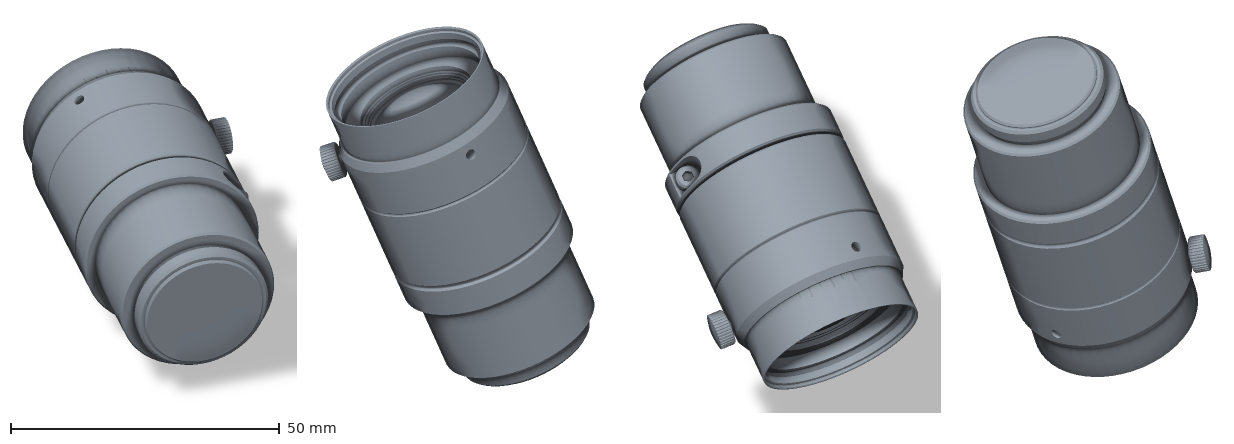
import cadquery as cq
import math


total_length = 63.2
ring_front_x = 8.1
ring_taper_end_x = 9.7
ring_groove_x = 19.55
iris_ring_end_x = 36.2
hub_step_x = 36.45
clamp_ring_x = 36.8
clamp_ring_end_x = 42.9
rear_barrel_end_x = 58.95
mount_thread_x = 59.75
mount_thread_end_x = 62.6

front_tube_r = 15.75
ring_r = 34.0 / 2
ring_front_r = 16.2
hub_small_r = 11.3
hub_large_r = 12.2
rear_barrel_r = 30.0 / 2
mount_relief_r = 12.35
mount_thread_r = 25.4 / 2
mount_lip_r = 23.1 / 2
edge_chamfer = 0.35
mount_chamfer = 0.5

rim_chamfer = 0.15
filter_thread_x = 0.7
filter_thread_end_x = 2.2
baffle_x = 3.3
cell_face_x = 5.7
retainer_x = 6.8
retainer_face_x = 7.1
lens_mouth_x = 7.65
lens_seat_x = 8.1
lens_edge_x = 8.3

filter_recess_r = 30.7 / 2
filter_thread_r = 14.9
baffle_r = 14.0
cell_bore_r = 22.2 / 2
retainer_r = 21.3 / 2
retainer_bore_r = 20.5 / 2
lens_mouth_r = 20.0 / 2
lens_r = 18.5 / 2
lens_sag = 3.2

lock_x = 12.15
lock_d = 2.05
lock_hole_depth = 1.7
lock_spacing_deg = 120.0
knob_r = 3.45
knob_bottom_y = 17.5
knob_shoulder_y = 20.4
knob_top_y = 20.94
knob_chamfer = 0.25
knurl_count = 36
knurl_d = 0.35

index_length = 0.95
index_width = 3.0
index_x = 17.3
mark_depth = 0.1
tick_count = 6
tick_pitch_deg = 8.0
tick_middle_deg = -1.15
tick_width = 0.35
tick_short = 1.0
tick_long = 2.0

clamp_x = (clamp_ring_x + clamp_ring_end_x) / 2
clamp_y = 13.5
clamp_floor_z = 5.1
clamp_pocket_w = 5.0
clamp_head_d = 4.5
clamp_head_h = 2.5
clamp_head_chamfer = 0.4
hex_across_flats = 2.0
hex_depth = 1.2


def make_body():
    """Revolve the outer outline together with the stepped front cavity and the lens dome."""
    c = edge_chamfer
    m = mount_chamfer
    dome_radius = (lens_r**2 + lens_sag**2) / (2 * lens_sag)
    half_angle = math.asin(lens_r / dome_radius) / 2
    lens_apex_x = lens_edge_x - lens_sag
    dome_mid = (
        lens_apex_x + dome_radius * (1 - math.cos(half_angle)),
        dome_radius * math.sin(half_angle),
    )
    outside = [
        (0, front_tube_r),
        (ring_front_x, front_tube_r),
        (ring_front_x, ring_front_r),
        (ring_taper_end_x, ring_r),
        (ring_groove_x - c, ring_r),
        (ring_groove_x, ring_r - c),
        (ring_groove_x + c, ring_r),
        (iris_ring_end_x - c, ring_r),
        (iris_ring_end_x, ring_r - c),
        (iris_ring_end_x, hub_small_r),
        (hub_step_x, hub_small_r),
        (hub_step_x, hub_large_r),
        (clamp_ring_x, hub_large_r),
        (clamp_ring_x, ring_r - c),
        (clamp_ring_x + c, ring_r),
        (clamp_ring_end_x - c, ring_r),
        (clamp_ring_end_x, ring_r - c),
        (clamp_ring_end_x, rear_barrel_r),
        (rear_barrel_end_x - c, rear_barrel_r),
        (rear_barrel_end_x, rear_barrel_r - c),
        (rear_barrel_end_x, mount_relief_r),
        (mount_thread_x, mount_relief_r),
        (mount_thread_x + mount_thread_r - mount_relief_r, mount_thread_r),
        (mount_thread_end_x - m, mount_thread_r),
        (mount_thread_end_x, mount_thread_r - m),
        (mount_thread_end_x, mount_lip_r),
        (total_length - c, mount_lip_r),
        (total_length, mount_lip_r - c),
        (total_length, 0),
        (lens_apex_x, 0),
    ]
    cavity = [
        (lens_seat_x, lens_r),
        (lens_seat_x, lens_mouth_r),
        (lens_mouth_x, lens_mouth_r),
        (lens_mouth_x, retainer_bore_r),
        (retainer_face_x, retainer_bore_r),
        (retainer_face_x, retainer_r),
        (retainer_x, retainer_r),
        (retainer_x, cell_bore_r),
        (cell_face_x, cell_bore_r),
        (cell_face_x, baffle_r),
        (baffle_x, baffle_r),
        (baffle_x, filter_recess_r),
        (filter_thread_end_x, filter_recess_r),
        (filter_thread_end_x, filter_thread_r),
        (filter_thread_x + rim_chamfer, filter_thread_r),
        (filter_thread_x, filter_recess_r),
        (rim_chamfer, filter_recess_r),
        (0, filter_recess_r + rim_chamfer),
    ]
    profile = cq.Workplane("XY").polyline(outside)
    profile = profile.threePointArc(dome_mid, (lens_edge_x, lens_r))
    for point in cavity:
        profile = profile.lineTo(*point)
    return profile.close().revolve(360, (0, 0, 0), (1, 0, 0))


def make_lock_hole(angle_deg):
    """Radial hole cutter in the front ring, turned about X from +Y."""
    cutter = cq.Workplane("XZ", origin=(lock_x, ring_r, 0))
    cutter = cutter.circle(lock_d / 2).extrude(lock_hole_depth)
    return cutter.rotate((0, 0, 0), (1, 0, 0), angle_deg)


def make_knob():
    """Knurled thumb screw on +Y, with a domed top and its stem sunk into the front ring."""
    c = knob_chamfer
    stem_bottom_y = ring_r - lock_hole_depth
    dome_h = knob_top_y - knob_shoulder_y
    dome_radius = (knob_r**2 + dome_h**2) / (2 * dome_h)
    half_angle = math.asin(knob_r / dome_radius) / 2
    dome_mid = (
        dome_radius * math.sin(half_angle),
        knob_top_y - dome_radius * (1 - math.cos(half_angle)),
    )
    knob = (
        cq.Workplane("XY")
        .moveTo(0, stem_bottom_y)
        .lineTo(lock_d / 2, stem_bottom_y)
        .lineTo(lock_d / 2, knob_bottom_y)
        .lineTo(knob_r - c, knob_bottom_y)
        .lineTo(knob_r, knob_bottom_y + c)
        .lineTo(knob_r, knob_shoulder_y)
        .threePointArc(dome_mid, (0, knob_top_y))
        .close()
        .revolve(360, (0, 0, 0), (0, 1, 0))
    )
    flutes = (
        cq.Workplane("XZ", origin=(0, knob_bottom_y, 0))
        .polarArray(knob_r, 0, 360, knurl_count)
        .circle(knurl_d / 2)
        .extrude(knob_bottom_y - knob_top_y)
    )
    return knob.cut(flutes).translate((lock_x, 0, 0))


def make_ticks():
    """Aperture graduations engraved in the front tube, alternately short and long."""
    ticks = []
    for i in range(tick_count):
        length = tick_short if i % 2 == 0 else tick_long
        toward_plus_y = tick_middle_deg + ((tick_count - 1) / 2 - i) * tick_pitch_deg
        tick = cq.Workplane("XY").box(length, tick_width, 2 * mark_depth)
        tick = tick.translate((ring_front_x - length / 2, 0, front_tube_r))
        ticks.append(tick.rotate((0, 0, 0), (1, 0, 0), -toward_plus_y))
    return ticks


def make_index_mark():
    """Rectangular index mark engraved in the -Y side of the front ring."""
    mark = cq.Workplane("XY").box(index_length, 2 * mark_depth, index_width)
    return mark.translate((index_x + index_length / 2, -ring_r, 0))


def make_clamp_pocket():
    """Round-ended pocket that opens through the +Y side of the rear ring."""
    floor = cq.Workplane("XY", origin=(clamp_x, clamp_y, clamp_floor_z))
    seat = floor.circle(clamp_pocket_w / 2).extrude(ring_r)
    opening = floor.rect(clamp_pocket_w, 2 * ring_r).extrude(ring_r)
    opening = opening.translate((0, ring_r, 0))
    return seat.union(opening)


def make_clamp_screw():
    """Socket head of the clamp screw, standing on the pocket floor."""
    head = cq.Workplane("XY", origin=(clamp_x, clamp_y, clamp_floor_z))
    head = head.circle(clamp_head_d / 2).extrude(clamp_head_h)
    head = head.faces(">Z").chamfer(clamp_head_chamfer)
    hex_across_corners = hex_across_flats / math.cos(math.pi / 6)
    return head.faces(">Z").workplane().polygon(6, hex_across_corners).cutBlind(-hex_depth)


result = make_body()
for turn in (1, 2):
    result = result.cut(make_lock_hole(turn * lock_spacing_deg))
for tick in make_ticks():
    result = result.cut(tick)
result = result.cut(make_index_mark())
result = result.cut(make_clamp_pocket())
result = result.union(make_clamp_screw())
result = result.union(make_knob())